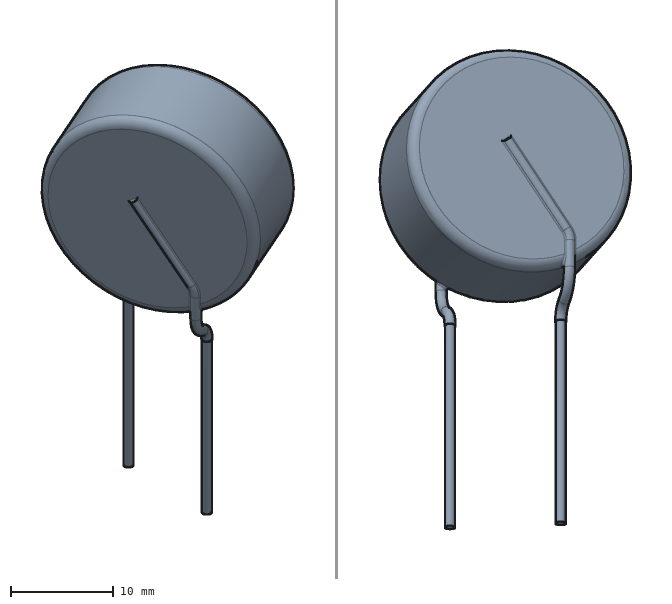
import cadquery as cq
import math

body_diameter = 23.0
body_thickness = 10.55
rim_fillet = 1.0

overall_height = 48.0
overall_depth = 11.2
coated_diameter = 1.1
bare_diameter = 1.0
lead_pitch_x = 10.0
lead_pitch_y = 4.3

tilt_angle = math.radians(35)
face_bend_radius = 2.0
face_bend_end_z = -8.05
wire_tip_z = 1.8

crimp_top_z = -10.85
crimp_upper_radius = 3.0
crimp_lower_radius = 2.0

coating_fillet = 0.2

lead_x = lead_pitch_x / 2
bare_y = -lead_pitch_y / 2
face_y = -(overall_depth - coated_diameter) / 2
lead_bottom_z = body_diameter / 2 - overall_height

crimp_radius_sum = crimp_upper_radius + crimp_lower_radius
crimp_angle = math.acos(1 - (bare_y - face_y) / crimp_radius_sum)
crimp_bottom_z = crimp_top_z - crimp_radius_sum * math.sin(crimp_angle)


def make_body():
    rear_face = cq.Workplane("XZ", origin=(0, body_thickness / 2, 0))
    disc = rear_face.circle(body_diameter / 2).extrude(body_thickness)
    return disc.faces("<Y or >Y").edges().fillet(rim_fillet)


def face_wire():
    """Slanted wire on the disc face, bent to run straight down to the crimp."""
    bend_centre_x = lead_x - face_bend_radius

    def bend_point(angle):
        return (
            bend_centre_x + face_bend_radius * math.cos(angle),
            face_bend_end_z + face_bend_radius * math.sin(angle),
        )

    bend_start = bend_point(tilt_angle)
    tip_x = bend_start[0] - (wire_tip_z - bend_start[1]) * math.tan(tilt_angle)
    path = (
        cq.Workplane("XZ", origin=(0, face_y, 0))
        .moveTo(lead_x, crimp_top_z)
        .lineTo(lead_x, face_bend_end_z)
        .threePointArc(bend_point(tilt_angle / 2), bend_start)
        .lineTo(tip_x, wire_tip_z)
    )
    profile = cq.Workplane("XY", origin=(lead_x, face_y, crimp_top_z)).circle(coated_diameter / 2)
    return profile.sweep(path)


def crimp_wire():
    """Two tangent arcs in a YZ plane, turning inwards and back to vertical."""

    def upper_point(angle):
        return (
            face_y + crimp_upper_radius * (1 - math.cos(angle)),
            crimp_top_z - crimp_upper_radius * math.sin(angle),
        )

    def lower_point(angle):
        return (
            bare_y - crimp_lower_radius * (1 - math.cos(angle)),
            crimp_bottom_z + crimp_lower_radius * math.sin(angle),
        )

    path = (
        cq.Workplane("YZ", origin=(lead_x, 0, 0))
        .moveTo(face_y, crimp_top_z)
        .threePointArc(upper_point(crimp_angle / 2), upper_point(crimp_angle))
        .threePointArc(lower_point(crimp_angle / 2), (bare_y, crimp_bottom_z))
    )
    profile = cq.Workplane("XY", origin=(lead_x, face_y, crimp_top_z)).circle(coated_diameter / 2)
    return profile.sweep(path)


def bare_wire():
    profile = cq.Workplane("XY", origin=(lead_x, bare_y, lead_bottom_z)).circle(bare_diameter / 2)
    return profile.extrude(crimp_bottom_z - lead_bottom_z)


front_lead = face_wire().union(crimp_wire()).union(bare_wire())
rear_lead = front_lead.rotate((0, 0, 0), (0, 0, 1), 180)

joined = make_body().union(front_lead).union(rear_lead)


def is_wire_joint(edge):
    """True for the straight joint edges on the flat faces; the fillet runs on round the bends."""
    lies_on_face = math.isclose(abs(edge.Center().y), body_thickness / 2, abs_tol=0.0005)
    return edge.geomType() == "LINE" and lies_on_face


result = joined.edges().filter(is_wire_joint).fillet(coating_fillet)